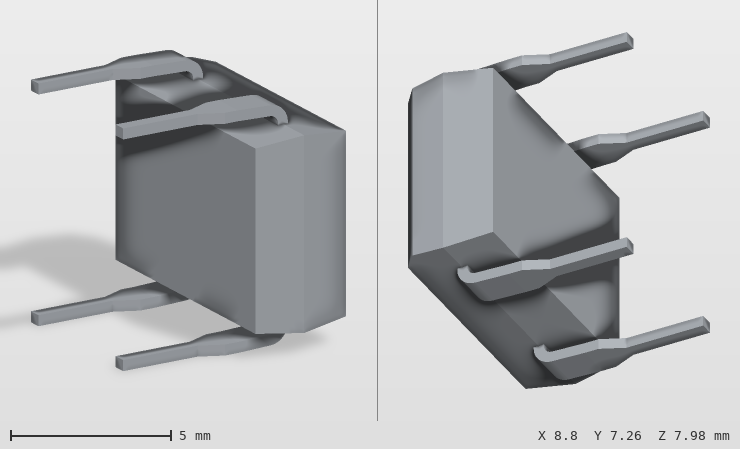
import cadquery as cq
import math


body_length = 8.8
body_height = 6.5
half_depth = 1.65
draft_angle = 7.0
index_cut_depth = 0.49
index_cut_width = 0.57

lead_pitch = 5.09
lead_thickness = 0.36
wide_width = 1.16
narrow_width = 0.46
lead_span = 7.98
lead_tip_y = -5.61
kink_y = -1.63
taper_start_y = -2.1
taper_end_y = -2.9
bend_inner_radius = 0.29
lead_tilt = 2.0
root_embedment = 0.35


def make_body_half(direction):
    """One half of the body, drafted inward from the parting plane toward +Y or -Y."""
    plane = cq.Plane(origin=(0, 0, 0), xDir=(1, 0, 0), normal=(0, direction, 0))
    return cq.Workplane(plane).rect(body_length, body_height).extrude(half_depth, taper=draft_angle)


def make_index_cutter():
    """Wedge that removes the -X edge of the back face to mark the first lead."""
    draft_slope = math.tan(math.radians(draft_angle))
    back_x = -body_length / 2 + half_depth * draft_slope + index_cut_width
    side_y = half_depth - index_cut_depth
    side_x = -body_length / 2 + side_y * draft_slope

    outer_x = 2 * side_x - back_x
    outer_y = 2 * side_y - half_depth

    return (
        cq.Workplane("XY")
        .moveTo(back_x, half_depth)
        .lineTo(outer_x, outer_y)
        .lineTo(outer_x, half_depth)
        .close()
        .extrude(body_height, both=True)
    )


def make_lead():
    """Upper lead centred on X = 0: bent strip in YZ, trimmed to its stepped width in XY."""
    tilt = math.radians(lead_tilt)
    outer_radius = bend_inner_radius + lead_thickness
    center_y = -lead_thickness / 2 - bend_inner_radius
    tip_outer_z = lead_span / 2
    tip_inner_z = tip_outer_z - lead_thickness
    root_z = body_height / 2 - root_embedment

    run = center_y - kink_y
    center_z = tip_outer_z - run * math.tan(tilt) - outer_radius / math.cos(tilt)
    inner_kink_y = kink_y - lead_thickness * math.tan(tilt / 2)

    def bend_point(radius, angle):
        return (center_y + radius * math.cos(angle), center_z + radius * math.sin(angle))

    bend_end = math.pi / 2 - tilt
    bend_middle = bend_end / 2

    strip = (
        cq.Workplane("YZ")
        .moveTo(lead_thickness / 2, root_z)
        .lineTo(*bend_point(outer_radius, 0))
        .threePointArc(bend_point(outer_radius, bend_middle), bend_point(outer_radius, bend_end))
        .lineTo(kink_y, tip_outer_z)
        .lineTo(lead_tip_y, tip_outer_z)
        .lineTo(lead_tip_y, tip_inner_z)
        .lineTo(inner_kink_y, tip_inner_z)
        .lineTo(*bend_point(bend_inner_radius, bend_end))
        .threePointArc(bend_point(bend_inner_radius, bend_middle), bend_point(bend_inner_radius, 0))
        .lineTo(-lead_thickness / 2, root_z)
        .close()
        .extrude(wide_width / 2, both=True)
    )

    width_profile = (
        cq.Workplane("XY")
        .moveTo(0, lead_thickness / 2)
        .lineTo(wide_width / 2, lead_thickness / 2)
        .lineTo(wide_width / 2, taper_start_y)
        .lineTo(narrow_width / 2, taper_end_y)
        .lineTo(narrow_width / 2, lead_tip_y)
        .lineTo(0, lead_tip_y)
        .mirrorY()
        .extrude(lead_span / 2)
    )
    return strip.intersect(width_profile)


body = make_body_half(1).union(make_body_half(-1)).cut(make_index_cutter())

upper_lead = make_lead()
lower_lead = upper_lead.mirror("XY")

result = body
for lead_x in (-lead_pitch / 2, lead_pitch / 2):
    for lead in (upper_lead, lower_lead):
        result = result.union(lead.translate((lead_x, 0, 0)))